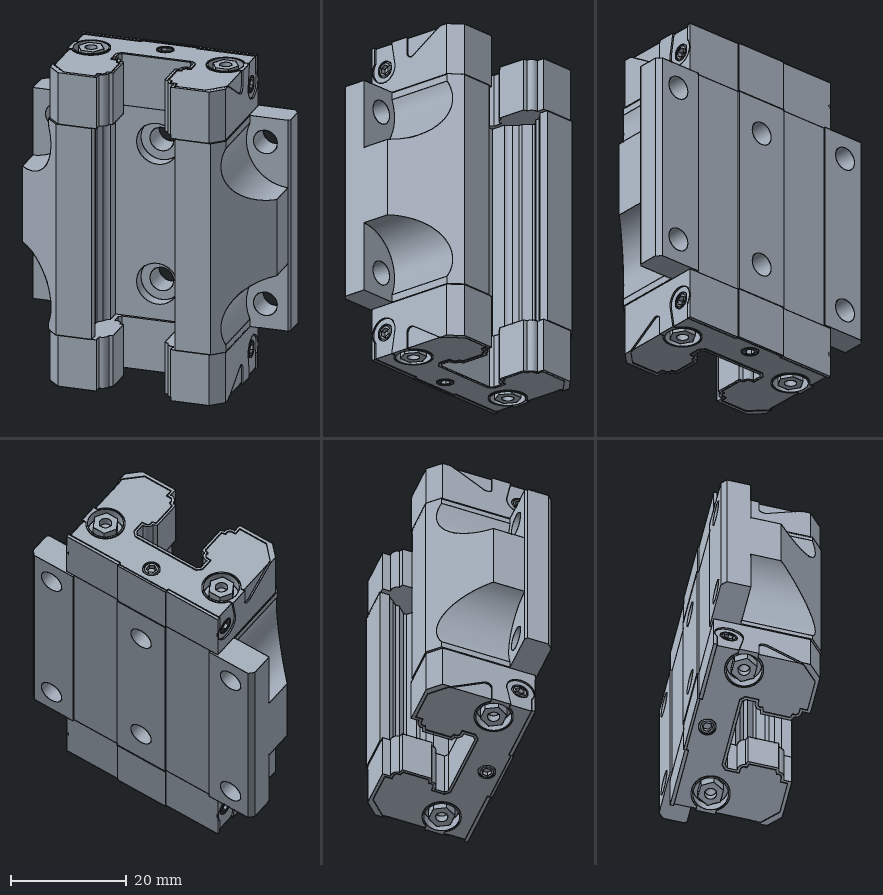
import cadquery as cq
import math


TOTAL_LENGTH = 58.25
HOUSING_LENGTH = 39.2
CAP_END = TOTAL_LENGTH / 2
HOUSING_END = HOUSING_LENGTH / 2
HEIGHT = 19.9
OVERCUT = 2.9

FLANGE_HALF_WIDTH = 23.5
FLANGE_THICKNESS = 5.1
FLANGE_CHAMFER = 0.9
REFERENCE_STEP = 0.4
FOOT_HALF_WIDTH = 14.1
CENTER_PAD_HALF_WIDTH = 5.05
SIDE_PAD_INNER = 14.45
PAD_HEIGHT = 0.35

HOLE_RADIUS = 2.15
FLANGE_HOLE_X = 19.0
FLANGE_HOLE_Z = 15.0
CENTER_HOLE_Z = 13.0
CENTER_BORE_RADIUS = 3.8
CENTER_BORE_DEPTH = 2.35
POCKET_RADIUS = 8.0
POCKET_WALL_X = 16.2

SLOT_HALF_WIDTH = 7.65
SLOT_CEILING_Y = -7.2
GROOVE_MID_Y = -14.05
GROOVE_HALF_HEIGHT = 4.1
BALL_GROOVE_SIZE = 1.0
BALL_GROOVE_SAG = 0.2
GROOVE_WALL_X = 9.45
GROOVE_WALL_HALF_HEIGHT = 1.6
GROOVE_FLOOR_X = 10.7

CAP_HALF_WIDTH = 16.0
CAP_TOP_Y = -0.35
CAP_PAD_Y = -0.1
CAP_BOTTOM_Y = -19.75
CAP_CHAMFER = 2.2
CAP_SLOT_HALF_WIDTH = 6.785
CAP_SLOT_CEILING_Y = -7.75
CAP_SLOT_CORNER = 0.5
TONGUE_X = 4.7
TONGUE_MID_Y = -14.15
TONGUE_HALF_HEIGHT = 2.75
TONGUE_SHOULDER_X = 5.4
TONGUE_SHOULDER_HALF_HEIGHT = 2.95
TONGUE_CORNER_RADIUS = 1.15

FACE_Z = CAP_END - 0.2
FACE_HALF_WIDTH = 15.7
FACE_SLOT_RIM = 0.495
FACE_TOP_Y = -1.0
FACE_PAD_Y = -0.6
FACE_BOTTOM_Y = -19.1
FACE_CHAMFER = 2.8

PORT_RECESS_RADIUS = 2.55
PORT_RECESS_END_Y = -4.9
WEDGE_START_Y = -8.4
WEDGE_END_Y = -16.0
WEDGE_DEPTH = 4.7
WEDGE_FILLET = 1.0

STUD_X = 12.3
STUD_Y = -6.65
STUD_HEX_WIDTH = 4.0
STUD_HOLE_RADIUS = 1.05
STUD_HOLE_DEPTH = 1.45
DRILL_POINT_DEPTH = 0.45
WELL_RADIUS = 3.1
WELL_DEPTH = 2.35
RING_RADIUS = 3.4

PORT_Y = -3.1
SIDE_PORT_Z = CAP_END - 4.55
SET_SCREW_RADIUS = 1.5
SET_SCREW_LENGTH = 2.9
SET_SCREW_CHAMFER = 0.32
SOCKET_WIDTH = 1.5
SOCKET_DEPTH = 0.9


def across_corners(width_across_flats):
    return width_across_flats / math.cos(math.pi / 6)


def both_sides(solid):
    """The solid together with its mirror image across the middle plane X = 0."""
    return solid.union(solid.mirror("YZ"))


def both_ends(solid):
    """The solid and its mirror image at the other end, as two separate solids."""
    return [solid.val(), solid.mirror("XY").val()]


def along_z(outline, start_z, end_z):
    return outline.extrude(end_z - start_z).translate((0, 0, start_z))


def housing_blank():
    step_x = FLANGE_HALF_WIDTH - REFERENCE_STEP
    outline = (
        cq.Workplane("XY")
        .moveTo(-FOOT_HALF_WIDTH, -HEIGHT)
        .lineTo(-FLANGE_HALF_WIDTH, -HEIGHT + FLANGE_HALF_WIDTH - FOOT_HALF_WIDTH)
        .lineTo(-FLANGE_HALF_WIDTH, -FLANGE_CHAMFER)
        .lineTo(-FLANGE_HALF_WIDTH + FLANGE_CHAMFER, 0)
        .lineTo(-SIDE_PAD_INNER, 0)
        .lineTo(-SIDE_PAD_INNER, -PAD_HEIGHT)
        .lineTo(-CENTER_PAD_HALF_WIDTH, -PAD_HEIGHT)
        .lineTo(-CENTER_PAD_HALF_WIDTH, 0)
        .lineTo(CENTER_PAD_HALF_WIDTH, 0)
        .lineTo(CENTER_PAD_HALF_WIDTH, -PAD_HEIGHT)
        .lineTo(SIDE_PAD_INNER, -PAD_HEIGHT)
        .lineTo(SIDE_PAD_INNER, 0)
        .lineTo(FLANGE_HALF_WIDTH - FLANGE_CHAMFER, 0)
        .lineTo(FLANGE_HALF_WIDTH, -FLANGE_CHAMFER)
        .lineTo(FLANGE_HALF_WIDTH, -FLANGE_THICKNESS + REFERENCE_STEP)
        .lineTo(step_x, -FLANGE_THICKNESS)
        .lineTo(step_x, -HEIGHT + step_x - FOOT_HALF_WIDTH)
        .lineTo(FOOT_HALF_WIDTH, -HEIGHT)
        .close()
    )
    return along_z(outline, -HOUSING_END, HOUSING_END)


def housing_slot():
    """Rail slot with two ball grooves facing each other in a deep recess on each side."""
    upper_y = GROOVE_MID_Y + GROOVE_HALF_HEIGHT
    lower_y = GROOVE_MID_Y - GROOVE_HALF_HEIGHT
    ball_x = SLOT_HALF_WIDTH + BALL_GROOVE_SIZE
    sag = BALL_GROOVE_SAG / math.sqrt(2)
    mid_x = SLOT_HALF_WIDTH + BALL_GROOVE_SIZE / 2 + sag
    mid_offset = GROOVE_HALF_HEIGHT - BALL_GROOVE_SIZE / 2 + sag
    ball_offset = GROOVE_HALF_HEIGHT - BALL_GROOVE_SIZE
    wall_offset = ball_offset - (GROOVE_WALL_X - ball_x)
    floor_offset = GROOVE_WALL_HALF_HEIGHT - (GROOVE_FLOOR_X - GROOVE_WALL_X)
    half = (
        cq.Workplane("XY")
        .moveTo(0, SLOT_CEILING_Y)
        .lineTo(SLOT_HALF_WIDTH, SLOT_CEILING_Y)
        .lineTo(SLOT_HALF_WIDTH, upper_y)
        .threePointArc((mid_x, GROOVE_MID_Y + mid_offset), (ball_x, GROOVE_MID_Y + ball_offset))
        .lineTo(GROOVE_WALL_X, GROOVE_MID_Y + wall_offset)
        .lineTo(GROOVE_WALL_X, GROOVE_MID_Y + GROOVE_WALL_HALF_HEIGHT)
        .lineTo(GROOVE_FLOOR_X, GROOVE_MID_Y + floor_offset)
        .lineTo(GROOVE_FLOOR_X, GROOVE_MID_Y - floor_offset)
        .lineTo(GROOVE_WALL_X, GROOVE_MID_Y - GROOVE_WALL_HALF_HEIGHT)
        .lineTo(GROOVE_WALL_X, GROOVE_MID_Y - wall_offset)
        .lineTo(ball_x, GROOVE_MID_Y - ball_offset)
        .threePointArc((mid_x, GROOVE_MID_Y - mid_offset), (SLOT_HALF_WIDTH, lower_y))
        .lineTo(SLOT_HALF_WIDTH, -HEIGHT - OVERCUT)
        .lineTo(0, -HEIGHT - OVERCUT)
        .close()
    )
    return both_sides(along_z(half, -HOUSING_END, HOUSING_END))


def flange_pocket():
    """Clearance under one flange corner: a round sweep and a flat wall running out at the end."""
    depth = HEIGHT - FLANGE_THICKNESS
    reach = FLANGE_HALF_WIDTH + OVERCUT - POCKET_WALL_X
    sweep = (
        cq.Workplane("XZ", origin=(FLANGE_HALF_WIDTH, -FLANGE_THICKNESS, FLANGE_HOLE_Z))
        .circle(POCKET_RADIUS)
        .extrude(depth)
    )
    run_out = cq.Workplane("XY").box(
        reach, depth, HOUSING_END - FLANGE_HOLE_Z, centered=False
    ).translate((POCKET_WALL_X, -HEIGHT, FLANGE_HOLE_Z))
    return sweep.union(run_out)


def make_housing():
    body = housing_blank().cut(housing_slot())
    pockets = both_sides(flange_pocket())
    body = body.cut(pockets).cut(pockets.mirror("XY"))

    hole_centers = [(x, z) for x in (-FLANGE_HOLE_X, FLANGE_HOLE_X) for z in (-FLANGE_HOLE_Z, FLANGE_HOLE_Z)]
    hole_centers += [(0, -CENTER_HOLE_Z), (0, CENTER_HOLE_Z)]
    holes = cq.Workplane("XZ").pushPoints(hole_centers).circle(HOLE_RADIUS).extrude(HEIGHT)
    counterbores = (
        cq.Workplane("XZ", origin=(0, SLOT_CEILING_Y + CENTER_BORE_DEPTH, 0))
        .pushPoints([(0, -CENTER_HOLE_Z), (0, CENTER_HOLE_Z)])
        .circle(CENTER_BORE_RADIUS)
        .extrude(CENTER_BORE_DEPTH)
    )
    return body.cut(holes).cut(counterbores)


def end_outline(half_width, top_y, pad_y, bottom_y, chamfer):
    """Outline of a cap or its face recess: a low pad on top, chamfered feet below, no slot."""
    return (
        cq.Workplane("XY")
        .moveTo(-half_width, top_y)
        .lineTo(-CENTER_PAD_HALF_WIDTH, top_y)
        .lineTo(-CENTER_PAD_HALF_WIDTH, pad_y)
        .lineTo(CENTER_PAD_HALF_WIDTH, pad_y)
        .lineTo(CENTER_PAD_HALF_WIDTH, top_y)
        .lineTo(half_width, top_y)
        .lineTo(half_width, bottom_y + chamfer)
        .lineTo(half_width - chamfer, bottom_y)
        .lineTo(-half_width + chamfer, bottom_y)
        .lineTo(-half_width, bottom_y + chamfer)
        .close()
    )


def end_slot(clearance):
    """Slot that follows the rail at a block end, widened all round by the clearance."""
    shoulder = TONGUE_SHOULDER_HALF_HEIGHT
    root = shoulder + TONGUE_CORNER_RADIUS
    arc_end_x = TONGUE_SHOULDER_X + TONGUE_CORNER_RADIUS
    arc_mid_x = arc_end_x - TONGUE_CORNER_RADIUS / math.sqrt(2)
    arc_mid = shoulder + TONGUE_CORNER_RADIUS / math.sqrt(2)
    half = (
        cq.Workplane("XY")
        .moveTo(0, CAP_SLOT_CEILING_Y)
        .lineTo(CAP_SLOT_HALF_WIDTH - CAP_SLOT_CORNER, CAP_SLOT_CEILING_Y)
        .lineTo(CAP_SLOT_HALF_WIDTH, CAP_SLOT_CEILING_Y - CAP_SLOT_CORNER)
        .lineTo(CAP_SLOT_HALF_WIDTH, TONGUE_MID_Y + root)
        .lineTo(arc_end_x, TONGUE_MID_Y + root)
        .threePointArc((arc_mid_x, TONGUE_MID_Y + arc_mid), (TONGUE_SHOULDER_X, TONGUE_MID_Y + shoulder))
        .lineTo(TONGUE_X, TONGUE_MID_Y + TONGUE_HALF_HEIGHT)
        .lineTo(TONGUE_X, TONGUE_MID_Y - TONGUE_HALF_HEIGHT)
        .lineTo(TONGUE_SHOULDER_X, TONGUE_MID_Y - shoulder)
        .threePointArc((arc_mid_x, TONGUE_MID_Y - arc_mid), (arc_end_x, TONGUE_MID_Y - root))
        .lineTo(CAP_SLOT_HALF_WIDTH, TONGUE_MID_Y - root)
        .lineTo(CAP_SLOT_HALF_WIDTH, -HEIGHT - OVERCUT)
        .lineTo(0, -HEIGHT - OVERCUT)
        .close()
    )
    if clearance:
        half = half.offset2D(clearance, "intersection")
    return both_sides(along_z(half, HOUSING_END, CAP_END))


def port_recess():
    """Recess in the +X side that runs down from the end to a round lobe around the side port."""
    depth = CAP_HALF_WIDTH - FACE_HALF_WIDTH
    lobe = (
        cq.Workplane("YZ", origin=(FACE_HALF_WIDTH, PORT_Y, SIDE_PORT_Z))
        .circle(PORT_RECESS_RADIUS)
        .extrude(depth)
    )
    start_y = PORT_RECESS_END_Y - PORT_Y
    start_z = CAP_END - SIDE_PORT_Z
    distance = math.hypot(start_y, start_z)
    tangent_angle = math.atan2(start_z, start_y) + math.acos(PORT_RECESS_RADIUS / distance)
    tangent_y = PORT_Y + PORT_RECESS_RADIUS * math.cos(tangent_angle)
    tangent_z = SIDE_PORT_Z + PORT_RECESS_RADIUS * math.sin(tangent_angle)
    channel = (
        cq.Workplane("YZ", origin=(FACE_HALF_WIDTH, 0, 0))
        .moveTo(FACE_TOP_Y, CAP_END)
        .lineTo(PORT_RECESS_END_Y, CAP_END)
        .lineTo(tangent_y, tangent_z)
        .lineTo(PORT_Y, SIDE_PORT_Z)
        .lineTo(FACE_TOP_Y, SIDE_PORT_Z)
        .close()
        .extrude(depth)
    )
    return lobe.union(channel)


def wedge_recess():
    """Three-cornered recess in the +X side, open at the end, with a rounded tip."""
    return (
        cq.Workplane("YZ", origin=(FACE_HALF_WIDTH, 0, 0))
        .moveTo(WEDGE_START_Y, CAP_END)
        .lineTo(WEDGE_START_Y, CAP_END - WEDGE_DEPTH)
        .lineTo(WEDGE_END_Y, CAP_END)
        .close()
        .extrude(CAP_HALF_WIDTH - FACE_HALF_WIDTH)
        .edges("|X")
        .edges("<Z")
        .fillet(WEDGE_FILLET)
    )


def face_recess():
    """Recess in the end face; the ring of each well joins the rim by a short bridge."""
    outline = end_outline(FACE_HALF_WIDTH, FACE_TOP_Y, FACE_PAD_Y, FACE_BOTTOM_Y, FACE_CHAMFER)
    recess = along_z(outline, FACE_Z, CAP_END).cut(end_slot(FACE_SLOT_RIM))
    ring = along_z(cq.Workplane("XY").center(STUD_X, STUD_Y).circle(RING_RADIUS), FACE_Z, CAP_END)
    bridge = cq.Workplane("XY").box(
        FACE_HALF_WIDTH - STUD_X,
        PORT_RECESS_END_Y - WEDGE_START_Y,
        CAP_END - FACE_Z,
        centered=False,
    ).translate((STUD_X, WEDGE_START_Y, FACE_Z))
    return recess.cut(both_sides(ring.union(bridge)))


def stud_well():
    """Ring-shaped space around the +X stud, together with the drilled hole in the stud."""
    well = cq.Workplane("XY").circle(WELL_RADIUS).extrude(-WELL_DEPTH)
    stud = cq.Workplane("XY").polygon(6, across_corners(STUD_HEX_WIDTH)).extrude(-WELL_DEPTH)
    drilled_hole = (
        cq.Workplane("XZ")
        .lineTo(STUD_HOLE_RADIUS, 0)
        .lineTo(STUD_HOLE_RADIUS, -STUD_HOLE_DEPTH)
        .lineTo(0, -STUD_HOLE_DEPTH - DRILL_POINT_DEPTH)
        .close()
        .revolve(360, (0, 0, 0), (0, 1, 0))
    )
    return well.cut(stud).union(drilled_hole).translate((STUD_X, STUD_Y, CAP_END))


def port_planes():
    """Planes on the three port mouths of the +Z cap, each facing out of the cap."""
    return [
        cq.Plane(origin=(0, PORT_Y, FACE_Z), xDir=(0, 1, 0), normal=(0, 0, 1)),
        cq.Plane(origin=(FACE_HALF_WIDTH, PORT_Y, SIDE_PORT_Z), xDir=(0, 0, 1), normal=(1, 0, 0)),
        cq.Plane(origin=(-FACE_HALF_WIDTH, PORT_Y, SIDE_PORT_Z), xDir=(0, 0, 1), normal=(-1, 0, 0)),
    ]


def make_cap():
    outline = end_outline(CAP_HALF_WIDTH, CAP_TOP_Y, CAP_PAD_Y, CAP_BOTTOM_Y, CAP_CHAMFER)
    cap = along_z(outline, HOUSING_END, CAP_END).cut(end_slot(0))
    cap = cap.cut(face_recess())
    for side_feature in (port_recess(), wedge_recess(), stud_well()):
        cap = cap.cut(both_sides(side_feature))
    for plane in port_planes():
        cap = cap.cut(cq.Workplane(plane).circle(SET_SCREW_RADIUS).extrude(-SET_SCREW_LENGTH))
    return cap


def make_set_screw(plane):
    """Headless screw, flush with the plane, with a chamfered end and a hexagon socket."""
    screw = (
        cq.Workplane(plane)
        .workplane(offset=-SET_SCREW_LENGTH)
        .circle(SET_SCREW_RADIUS)
        .extrude(SET_SCREW_LENGTH)
    )
    screw = screw.intersect(
        cq.Workplane(plane)
        .circle(SET_SCREW_RADIUS - SET_SCREW_CHAMFER)
        .extrude(-SET_SCREW_LENGTH, taper=-45)
    )
    socket = cq.Workplane(plane).polygon(6, across_corners(SOCKET_WIDTH)).extrude(-SOCKET_DEPTH)
    return screw.cut(socket)


housing = make_housing()
caps = both_ends(make_cap())
set_screws = []
for port_plane in port_planes():
    set_screws += both_ends(make_set_screw(port_plane))

result = cq.Compound.makeCompound([housing.val(), *caps, *set_screws])